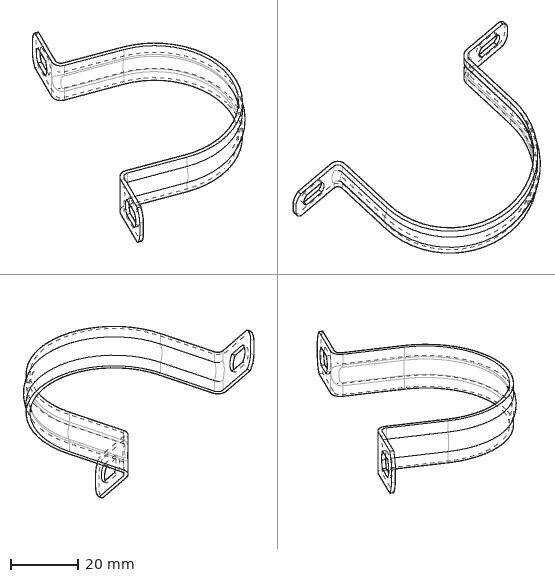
import cadquery as cq
import math

pipe_radius = 25.0
thickness = 1.2
width = 14.0
axis_height = 22.0
strap_radius = pipe_radius + thickness
bend_inner_radius = 1.8
bend_outer_radius = bend_inner_radius + thickness

overall_length = 87.2
foot_tip = overall_length / 2
tip_flat_height = 5.0
tip_corner_radius = 7.0
tip_setback = 2.0

slot_centre = 36.15
slot_length = 8.4
slot_height = 6.0
slot_inner_sagitta = 1.05
slot_outer_sagitta = 1.25

bead_rise = 0.8
bead_outer_radius = 7.0
bead_inner_radius = bead_outer_radius - thickness
bead_path_radius = strap_radius + bead_rise - bead_outer_radius
bead_lip_radius = 2.1

margin = 0.1


def u_block(radius):
    """Solid block with a U outline, from the mounting face up over the arch."""
    return (
        cq.Workplane("XY")
        .moveTo(-radius, 0)
        .lineTo(-radius, axis_height)
        .threePointArc((0, axis_height + radius), (radius, axis_height))
        .lineTo(radius, 0)
        .close()
        .extrude(width / 2, both=True)
    )


def u_rod(section_radius):
    """Round rod following the U: half a ring on two straight legs."""
    ring = cq.Solid.makeTorus(
        bead_path_radius, section_radius, cq.Vector(0, axis_height, 0), cq.Vector(0, 0, 1)
    )
    arch_space = (
        cq.Workplane("XY", origin=(0, axis_height + strap_radius, 0))
        .rect(4 * strap_radius, 2 * strap_radius)
        .extrude(width, both=True)
    )
    legs = (
        cq.Workplane("XZ", origin=(0, axis_height, 0))
        .pushPoints([(-bead_path_radius, 0), (bead_path_radius, 0)])
        .circle(section_radius)
        .extrude(axis_height)
    )
    return arch_space.intersect(cq.Workplane(ring)).union(legs)


def foot_plate():
    """Plate spanning both feet, with its ends curving from a flat tip to the side edges."""
    half = (
        cq.Workplane("XZ")
        .lineTo(0, width / 2)
        .lineTo(foot_tip - tip_setback, width / 2)
        .radiusArc((foot_tip, tip_flat_height / 2), tip_corner_radius)
        .lineTo(foot_tip, 0)
        .close()
        .extrude(-thickness)
    )
    half = half.union(half.mirror("XY"))
    return half.union(half.mirror("YZ"))


def foot_slots():
    """Cutter for the slots of both feet."""
    inner = slot_centre - slot_length / 2
    outer = slot_centre + slot_length / 2
    half_height = slot_height / 2
    slot = (
        cq.Workplane("XZ")
        .moveTo(inner + slot_inner_sagitta, half_height)
        .lineTo(outer - slot_outer_sagitta, half_height)
        .threePointArc((outer, 0), (outer - slot_outer_sagitta, -half_height))
        .lineTo(inner + slot_inner_sagitta, -half_height)
        .threePointArc((inner, 0), (inner + slot_inner_sagitta, half_height))
        .close()
        .extrude(-thickness)
    )
    return slot.union(slot.mirror("YZ"))


def edges_centred_in(body, low, high):
    """Edges whose centres lie in the box from low to high, widened by the margin."""
    slack = cq.Vector(margin, margin, margin)
    box_low = (cq.Vector(*low) - slack).toTuple()
    box_high = (cq.Vector(*high) + slack).toTuple()
    return body.edges(cq.selectors.BoxSelector(box_low, box_high))


def fillet_bends(body, inner_x, outer_x, y, radius):
    """Round the edges between the legs and the feet at height y, on both sides."""
    side = width / 2
    left = edges_centred_in(body, (-outer_x, y, -side), (-inner_x, y, side))
    right = edges_centred_in(body, (inner_x, y, -side), (outer_x, y, side))
    return left.add(right).fillet(radius)


def bent_strap():
    """Strap with feet, rounded bends and the raised outside of the bead."""
    outside = u_block(strap_radius).union(u_rod(bead_outer_radius)).union(foot_plate())
    bead_crest = strap_radius + bead_rise
    outside = fillet_bends(outside, strap_radius, bead_crest, thickness, bend_inner_radius)
    strap = outside.cut(u_block(pipe_radius))
    return fillet_bends(strap, pipe_radius, pipe_radius, 0, bend_outer_radius)


def groove_bead(strap):
    """Hollow the bead from the pipe side and round the lip all around the groove."""
    grooved = strap.cut(u_rod(bead_inner_radius))
    floor_x = bead_path_radius + bead_inner_radius
    lip_z = math.sqrt(bead_inner_radius**2 - (pipe_radius - bead_path_radius) ** 2)
    arch_top = axis_height + pipe_radius

    lip = grooved.newObject([])
    for z in (-lip_z, lip_z):
        lip = lip.add(edges_centred_in(grooved, (-pipe_radius, 0, z), (pipe_radius, arch_top, z)))
    lip = lip.add(edges_centred_in(grooved, (-floor_x, 0, 0), (-pipe_radius, bend_outer_radius, 0)))
    lip = lip.add(edges_centred_in(grooved, (pipe_radius, 0, 0), (floor_x, bend_outer_radius, 0)))
    return lip.fillet(bead_lip_radius)


result = groove_bead(bent_strap()).cut(foot_slots())